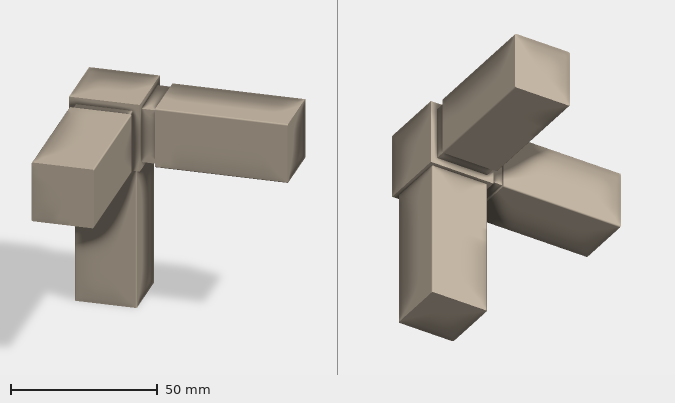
import cadquery as cq

reach = 77.0
cube_side = 25.0
center_depth = cube_side / 2

plug_width = 22.0
edge_radius = 0.5
neck_width = 20.0
neck_length = 5.0


def square_bar(width, start, end):
    """Square bar running downwards between two distances from the cube's outer face."""
    return (
        cq.Workplane("XY")
        .workplane(offset=-start)
        .rect(width, width)
        .extrude(start - end)
    )


def plug(start):
    """Bar with its long edges rounded, ending at the full reach."""
    return square_bar(plug_width, start, reach).edges("|Z").fillet(edge_radius)


cube = square_bar(cube_side, 0, cube_side)

lower_leg = plug(cube_side)

neck_end = cube_side + neck_length
necked_arm = square_bar(neck_width, cube_side, neck_end).union(plug(neck_end))

cube_center = (0, 0, -center_depth)
front_arm = necked_arm.rotate(cube_center, (1, 0, -center_depth), -90)
side_arm = necked_arm.rotate(cube_center, (0, 1, -center_depth), -90)

result = cube.union(lower_leg).union(front_arm).union(side_arm)